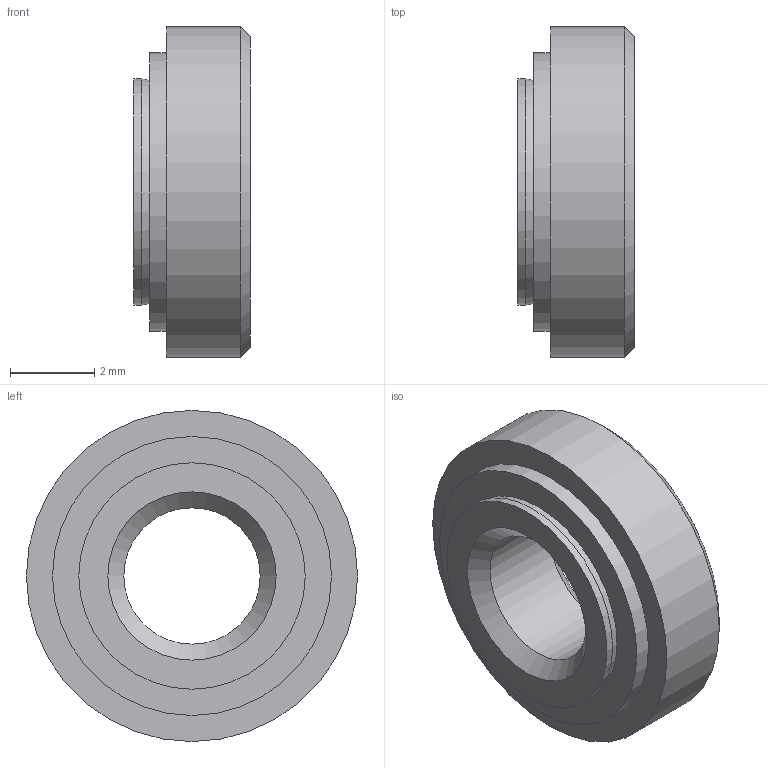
import cadquery as cq

total_length = 2.77
body_diameter = 7.87
body_chamfer = 0.24

shoulder_diameter = 6.63
shoulder_length = 0.39

collar_diameter = 5.38
collar_length = 0.38
collar_rim_length = 0.19
collar_undercut = 0.04

bore_diameter = 3.24
countersink_diameter = 4.0

body_radius = body_diameter / 2
shoulder_radius = shoulder_diameter / 2
collar_radius = collar_diameter / 2
bore_radius = bore_diameter / 2
countersink_radius = countersink_diameter / 2
countersink_depth = countersink_radius - bore_radius
body_start = collar_length + shoulder_length


def ring():
    """Revolve the half section, drawn as (x, radius), about the X axis."""
    section = [
        (0, countersink_radius),
        (0, collar_radius),
        (collar_rim_length, collar_radius),
        (collar_length, collar_radius - collar_undercut),
        (collar_length, shoulder_radius),
        (body_start, shoulder_radius),
        (body_start, body_radius),
        (total_length - body_chamfer, body_radius),
        (total_length, body_radius - body_chamfer),
        (total_length, countersink_radius),
        (total_length - countersink_depth, bore_radius),
        (countersink_depth, bore_radius),
    ]
    return cq.Workplane("XY").polyline(section).close().revolve(360, (0, 0, 0), (1, 0, 0))


result = ring()